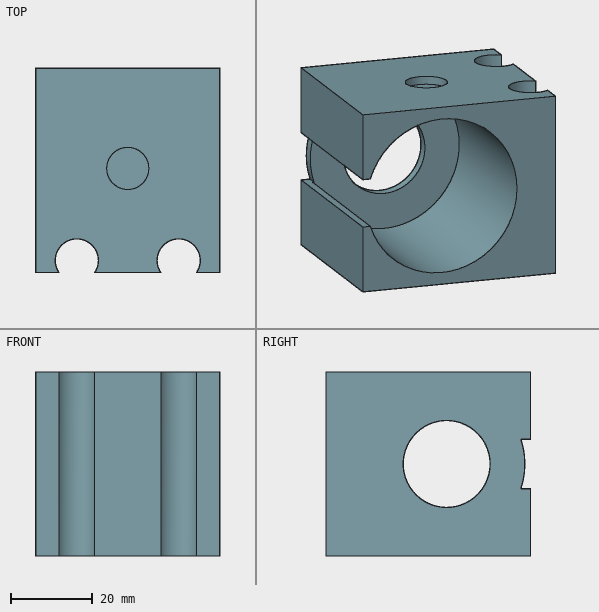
import cadquery as cq

LENGTH_X = 45.0
DEPTH_Y = 50.0
HEIGHT_Z = 45.0
FRONT_Y = -DEPTH_Y / 2
BACK_Y = DEPTH_Y / 2

BORE_DIAMETER = 39.0
BORE_FROM_BACK = 20.5
BORE_Y = BACK_Y - BORE_FROM_BACK
END_WALL = 3.0
END_HOLE_DIAMETER = 21.2

SLOT_WIDTH = 12.0
SHOULDER_DIAMETER = 38.3

RECESS_DIAMETER = 10.3
RECESS_DEPTH = 2.0
RECESS_FROM_FRONT = 25.5

GROOVE_DIAMETER = 10.5
GROOVE_INSET = 3.0
GROOVE_SPACING = 24.9


def cylinder_along_x(diameter, length):
    """Cylinder on the bore axis, starting at the -X face."""
    return (
        cq.Workplane("YZ", origin=(-LENGTH_X / 2, BORE_Y, 0))
        .circle(diameter / 2)
        .extrude(length)
    )


def cut_bore(body):
    bore = cylinder_along_x(BORE_DIAMETER, LENGTH_X - END_WALL)
    end_hole = cylinder_along_x(END_HOLE_DIAMETER, LENGTH_X)
    return body.cut(bore).cut(end_hole)


def cut_back_slot(body):
    """Cut the slot along the whole length, outside the round shoulder only."""
    slot = (
        cq.Workplane("XY", origin=(0, BORE_Y, 0))
        .box(LENGTH_X, BORE_FROM_BACK, SLOT_WIDTH, centered=(True, False, True))
        .cut(cylinder_along_x(SHOULDER_DIAMETER, LENGTH_X))
    )
    return body.cut(slot)


def cut_top_recess(body):
    recess = (
        cq.Workplane("XY", origin=(0, FRONT_Y + RECESS_FROM_FRONT, HEIGHT_Z / 2))
        .circle(RECESS_DIAMETER / 2)
        .extrude(-RECESS_DEPTH)
    )
    return body.cut(recess)


def cut_front_grooves(body):
    grooves = (
        cq.Workplane("XY", origin=(0, FRONT_Y + GROOVE_INSET, -HEIGHT_Z / 2))
        .pushPoints([(-GROOVE_SPACING / 2, 0), (GROOVE_SPACING / 2, 0)])
        .circle(GROOVE_DIAMETER / 2)
        .extrude(HEIGHT_Z)
    )
    return body.cut(grooves)


block = cq.Workplane("XY").box(LENGTH_X, DEPTH_Y, HEIGHT_Z)
block = cut_bore(block)
block = cut_back_slot(block)
block = cut_top_recess(block)
result = cut_front_grooves(block)